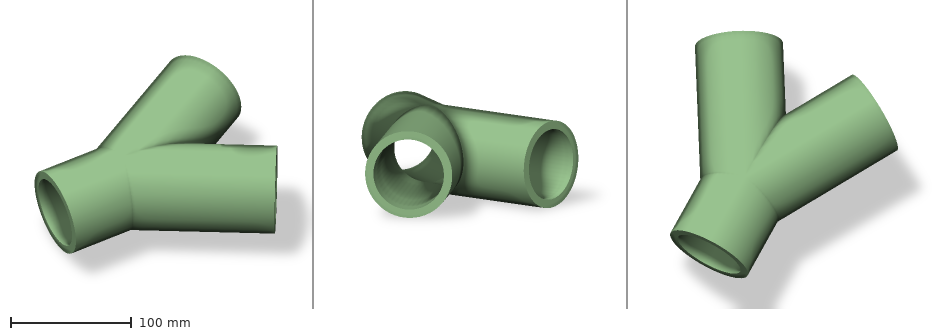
import cadquery as cq
import math

total_length = 191.7
outer_diameter = 73.0
bore_diameter = 59.0
branch_length = 127.0
branch_angle = 30.0

angle = math.radians(branch_angle)
branch_reach = branch_length * math.cos(angle) + outer_diameter / 2 * math.sin(angle)
stem_length = total_length - branch_reach


def rod(diameter, length, direction):
    """Solid cylinder that starts at the junction and runs along a direction."""
    return cq.Workplane(cq.Solid.makeCylinder(diameter / 2, length, cq.Vector(0, 0, 0), direction))


def wye(diameter):
    """Stem and two mirrored branches of one diameter, joined together."""
    body = rod(diameter, stem_length, cq.Vector(0, -1, 0))
    for side in (-1, 1):
        direction = cq.Vector(side * math.sin(angle), math.cos(angle), 0)
        body = body.union(rod(diameter, branch_length, direction))
    return body


result = wye(outer_diameter).cut(wye(bore_diameter))